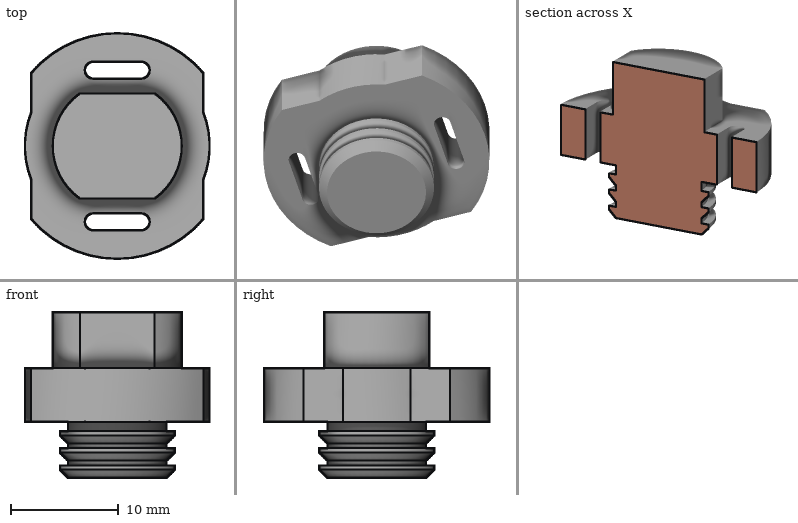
import cadquery as cq

FLANGE_DIAMETER = 21.0
FLANGE_FLAT_WIDTH = 16.0
BULGE_DIAMETER = 17.2
FLANGE_HEIGHT = 5.0

BOSS_DIAMETER = 12.0
BOSS_FLAT_WIDTH = 9.8
BOSS_HEIGHT = 5.2

SLOT_LENGTH = 6.0
SLOT_WIDTH = 1.55
SLOT_OFFSET = 7.05

PLUG_DIAMETER = 9.2
PLUG_LENGTH = 5.2
RIB_DIAMETER = 10.7
RIB_RIM_HEIGHT = 0.4
RIB_HEIGHT = 1.15
RIB_PITCH = 1.6
RIB_COUNT = 3


def make_flange():
    """Flange standing on Z = 0."""
    disc = cq.Workplane("XY").circle(FLANGE_DIAMETER / 2).extrude(FLANGE_HEIGHT)
    flats = cq.Workplane("XY").rect(FLANGE_FLAT_WIDTH, FLANGE_DIAMETER).extrude(FLANGE_HEIGHT)
    bulge = cq.Workplane("XY").circle(BULGE_DIAMETER / 2).extrude(FLANGE_HEIGHT)
    return disc.intersect(flats).union(bulge)


def make_slots():
    """Pair of slot cutters that run along X through the flange."""
    return (
        cq.Workplane("XY")
        .pushPoints([(0, -SLOT_OFFSET), (0, SLOT_OFFSET)])
        .slot2D(SLOT_LENGTH, SLOT_WIDTH)
        .extrude(FLANGE_HEIGHT)
    )


def make_boss():
    """Round boss with two flats, on top of the flange."""
    base = cq.Workplane("XY").workplane(offset=FLANGE_HEIGHT)
    disc = base.circle(BOSS_DIAMETER / 2).extrude(BOSS_HEIGHT)
    flats = base.rect(BOSS_DIAMETER, BOSS_FLAT_WIDTH).extrude(BOSS_HEIGHT)
    return disc.intersect(flats)


def make_plug():
    """Revolved plug below the flange; each rib has a short rim and a cone narrowing to the core."""
    core_radius = PLUG_DIAMETER / 2
    rib_radius = RIB_DIAMETER / 2
    first_rib_top = -PLUG_LENGTH + RIB_HEIGHT + (RIB_COUNT - 1) * RIB_PITCH

    profile = cq.Workplane("XZ").moveTo(0, 0).lineTo(core_radius, 0)
    for index in range(RIB_COUNT):
        rib_top = first_rib_top - index * RIB_PITCH
        profile = (
            profile.lineTo(core_radius, rib_top)
            .lineTo(rib_radius, rib_top)
            .lineTo(rib_radius, rib_top - RIB_RIM_HEIGHT)
            .lineTo(core_radius, rib_top - RIB_HEIGHT)
        )
    profile = profile.lineTo(0, -PLUG_LENGTH).close()
    return profile.revolve(360, (0, 0, 0), (0, 1, 0))


result = make_flange().cut(make_slots()).union(make_boss()).union(make_plug())